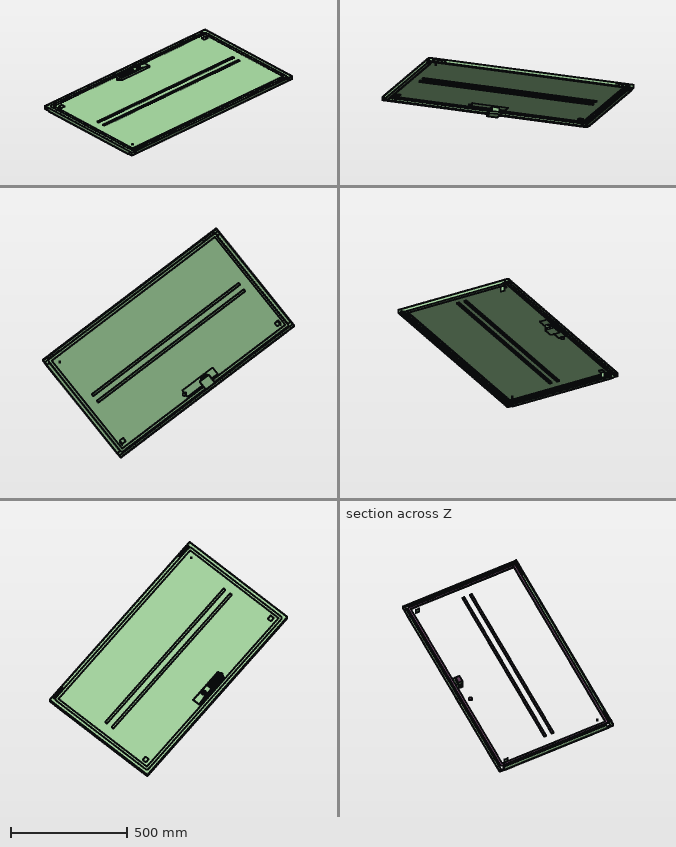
import cadquery as cq

DOOR_WIDTH = 545.0
DOOR_LENGTH = 946.0
SHEET = 1.0
SIDE_DEPTH = 15.0
SIDE_FLANGE_REACH = 11.0
END_DEPTH = 18.0
END_FLANGE_WIDTH = 494.0
END_FLANGE_REACH = 17.0

SIDE_HOLE_DIAMETER = 8.0
SIDE_HOLE_Y = 451.0
SIDE_HOLE_Z = -7.0
RELIEF_DIAMETER = 4.0
RELIEF_X = 256.0
RELIEF_Z = -8.0

SEAL_WIDTH = 516.5
SEAL_LENGTH = 914.0
SEAL_BEAD = 12.0
SEAL_HEIGHT = 4.0
SEAL_CORNER = 9.0

STRIP_X = 18.0
STRIP_WIDTH = 10.0
STRIP_LENGTH = 800.0
STRIP_HEIGHT = 4.0

HINGE_PAD_WIDTH = 8.0
HINGE_PAD_LENGTH = 61.5
HINGE_PAD_X = 264.0
HINGE_PAD_Y = 424.0
HINGE_PAD_HEIGHT = 4.0

LOCK_X = -221.0
LOCK_Y = 29.0

BRACKET_WIDTH = 18.0
BRACKET_FOOT = 20.0
BRACKET_END_Y = 432.0
BRACKET_DEPTH = 27.0
STUD_DIAMETER = 5.0
STUD_X = 220.0
STUD_Y = -421.0
STUD_LENGTH = 9.0
BOSS_DIAMETER = 16.0
BOSS_Y = -85.0
BOSS_HEIGHT = 4.0

HANDLE_WIDTH = 36.0
HANDLE_CREST_WIDTH = 29.0
HANDLE_NOSE_Y = 81.0
HANDLE_TAIL_Y = -83.0
HANDLE_NOSE_HEIGHT = 5.0
HOUSING_HEIGHT = 9.0
HOUSING_SLOPE_END_Y = 54.0
GRIP_WIDTH = 27.0
GRIP_START_Y = 51.0
PAD_START_Y = 38.0
PAD_HEIGHT = 12.0
GRIP_STEP_Y = -6.0
GRIP_HEIGHT = 15.0
GRIP_TAIL_CHAMFER = 3.0

CYLINDER_DIAMETER = 19.0
CYLINDER_HEIGHT = 14.0
KEYWAY_WIDTH = 3.0
KEYWAY_LENGTH = 13.0
KEYWAY_DEPTH = 4.0

GROOVE_COUNT = 14
GROOVE_PITCH = 5.0
GROOVE_WIDTH = 2.4
GROOVE_LENGTH = 19.0
GROOVE_DEPTH = 2.0
FIRST_GROOVE_Y = -12.0

SPINDLE_DIAMETER = 19.0
COLLAR_WIDTH = 21.0
COLLAR_LENGTH = 32.0
OVERALL_HEIGHT = 45.0
CAM_BOTTOM = GRIP_HEIGHT - OVERALL_HEIGHT
CAM_THICKNESS = 9.0
CAM_LENGTH = 50.0
CAM_Y = 27.0
CAM_OUTER_X = -258.0
CAM_INNER_X = -213.0
CAM_CORNER = 6.0

SIDES = (-1, 1)


def block(width, length, z_low, z_high, x=0.0, y=0.0):
    """Block centred on (x, y) between two heights."""
    base = cq.Workplane("XY", origin=(x, y, z_low))
    return base.rect(width, length).extrude(z_high - z_low)


def post(diameter, z_low, z_high, x, y):
    """Upright cylinder on (x, y) between two heights."""
    base = cq.Workplane("XY", origin=(x, y, z_low))
    return base.circle(diameter / 2).extrude(z_high - z_low)


def make_tray():
    """Folded sheet: top face, four walls and their inward flanges."""
    tray = block(DOOR_WIDTH, DOOR_LENGTH, -SIDE_DEPTH, 0)
    tray = tray.cut(block(DOOR_WIDTH - 2 * SHEET, DOOR_LENGTH - 2 * SHEET, -SIDE_DEPTH, -SHEET))
    for side in SIDES:
        side_x = side * (DOOR_WIDTH - SIDE_FLANGE_REACH) / 2
        tray = tray.union(block(SIDE_FLANGE_REACH, DOOR_LENGTH, -SIDE_DEPTH, SHEET - SIDE_DEPTH, side_x))
        wall_y = side * (DOOR_LENGTH - SHEET) / 2
        tray = tray.union(block(END_FLANGE_WIDTH, SHEET, -END_DEPTH, -SIDE_DEPTH, 0, wall_y))
        end_y = side * (DOOR_LENGTH - END_FLANGE_REACH) / 2
        tray = tray.union(block(END_FLANGE_WIDTH, END_FLANGE_REACH, -END_DEPTH, SHEET - END_DEPTH, 0, end_y))
    return tray


def make_wall_cuts():
    """Holes through the long walls, and relief holes through the end walls."""
    side_holes = (
        cq.Workplane("YZ")
        .pushPoints([(side * SIDE_HOLE_Y, SIDE_HOLE_Z) for side in SIDES])
        .circle(SIDE_HOLE_DIAMETER / 2)
        .extrude(DOOR_WIDTH / 2, both=True)
    )
    reliefs = (
        cq.Workplane("XZ")
        .pushPoints([(side * RELIEF_X, RELIEF_Z) for side in SIDES])
        .circle(RELIEF_DIAMETER / 2)
        .extrude(DOOR_LENGTH / 2, both=True)
    )
    return side_holes, reliefs


def make_seal():
    seal = block(SEAL_WIDTH, SEAL_LENGTH, -SHEET - SEAL_HEIGHT, -SHEET).edges("|Z").fillet(SEAL_CORNER)
    opening = block(SEAL_WIDTH - 2 * SEAL_BEAD, SEAL_LENGTH - 2 * SEAL_BEAD, -SHEET - SEAL_HEIGHT, -SHEET)
    return seal.cut(opening)


def make_bracket(end):
    """Angle bracket near one end: a foot on the sheet and a tab standing inward."""
    foot_y = end * (BRACKET_END_Y - BRACKET_FOOT / 2)
    foot = block(BRACKET_WIDTH, BRACKET_FOOT, -2 * SHEET, -SHEET, LOCK_X, foot_y)
    tab_y = end * (BRACKET_END_Y - SHEET / 2)
    return foot.union(block(BRACKET_WIDTH, SHEET, -BRACKET_DEPTH, -SHEET, LOCK_X, tab_y))


def make_door():
    door = make_tray()
    for wall_cut in make_wall_cuts():
        door = door.cut(wall_cut)
    door = door.union(make_seal())
    for side in SIDES:
        strip = block(STRIP_WIDTH, STRIP_LENGTH, -SHEET - STRIP_HEIGHT, -SHEET, side * STRIP_X)
        pad_bottom = -SHEET - HINGE_PAD_HEIGHT
        pad_y = side * HINGE_PAD_Y
        hinge_pad = block(HINGE_PAD_WIDTH, HINGE_PAD_LENGTH, pad_bottom, -SHEET, HINGE_PAD_X, pad_y)
        door = door.union(strip).union(hinge_pad).union(make_bracket(side))
    door = door.union(post(STUD_DIAMETER, -SHEET - STUD_LENGTH, -SHEET, STUD_X, STUD_Y))
    door = door.union(post(BOSS_DIAMETER, -SHEET - BOSS_HEIGHT, -SHEET, LOCK_X, BOSS_Y))
    return door.cut(post(SPINDLE_DIAMETER, -SHEET, 0, LOCK_X, LOCK_Y))


def side_profile(points, width):
    """Closed (Y, Z) outline extruded to a width centred on the lock's X."""
    return cq.Workplane("YZ", origin=(LOCK_X, 0, 0)).polyline(points).close().extrude(width / 2, both=True)


def make_handle():
    housing = side_profile(
        [
            (HANDLE_NOSE_Y, 0),
            (HANDLE_NOSE_Y, HANDLE_NOSE_HEIGHT),
            (HOUSING_SLOPE_END_Y, HOUSING_HEIGHT),
            (HANDLE_TAIL_Y, HOUSING_HEIGHT),
            (HANDLE_TAIL_Y, 0),
        ],
        HANDLE_WIDTH,
    )
    flanks = (
        cq.Workplane("XZ", origin=(LOCK_X, 0, 0))
        .polyline([
            (-HANDLE_WIDTH / 2, 0),
            (-HANDLE_CREST_WIDTH / 2, HOUSING_HEIGHT),
            (HANDLE_CREST_WIDTH / 2, HOUSING_HEIGHT),
            (HANDLE_WIDTH / 2, 0),
        ])
        .close()
        .extrude(HANDLE_NOSE_Y - HANDLE_TAIL_Y, both=True)
    )
    grip = side_profile(
        [
            (GRIP_START_Y, 0),
            (GRIP_START_Y, HOUSING_HEIGHT),
            (PAD_START_Y, PAD_HEIGHT),
            (GRIP_STEP_Y, PAD_HEIGHT),
            (GRIP_STEP_Y, GRIP_HEIGHT),
            (HANDLE_TAIL_Y + GRIP_TAIL_CHAMFER, GRIP_HEIGHT),
            (HANDLE_TAIL_Y, GRIP_HEIGHT - GRIP_TAIL_CHAMFER),
            (HANDLE_TAIL_Y, 0),
        ],
        GRIP_WIDTH,
    )
    handle = housing.intersect(flanks).union(grip)
    handle = handle.union(post(CYLINDER_DIAMETER, 0, CYLINDER_HEIGHT, LOCK_X, LOCK_Y))
    keyway_floor = CYLINDER_HEIGHT - KEYWAY_DEPTH
    handle = handle.cut(block(KEYWAY_WIDTH, KEYWAY_LENGTH, keyway_floor, CYLINDER_HEIGHT, LOCK_X, LOCK_Y))
    for i in range(GROOVE_COUNT):
        groove_y = FIRST_GROOVE_Y - i * GROOVE_PITCH
        groove_floor = GRIP_HEIGHT - GROOVE_DEPTH
        handle = handle.cut(block(GROOVE_LENGTH, GROOVE_WIDTH, groove_floor, GRIP_HEIGHT, LOCK_X, groove_y))
    return handle


def make_latch():
    cam_top = CAM_BOTTOM + CAM_THICKNESS
    cam_x = (CAM_OUTER_X + CAM_INNER_X) / 2
    cam = block(CAM_INNER_X - CAM_OUTER_X, CAM_LENGTH, CAM_BOTTOM, cam_top, cam_x, CAM_Y)
    cam = cam.edges("|Z").fillet(CAM_CORNER)
    collar = block(COLLAR_WIDTH, COLLAR_LENGTH, cam_top, -SHEET, LOCK_X, CAM_Y)
    spindle = post(SPINDLE_DIAMETER, cam_top, 0, LOCK_X, LOCK_Y)
    return cam.union(collar).union(spindle)


door = make_door()
handle = make_handle()
latch = make_latch()
result = cq.Compound.makeCompound([door.val(), handle.val(), latch.val()])